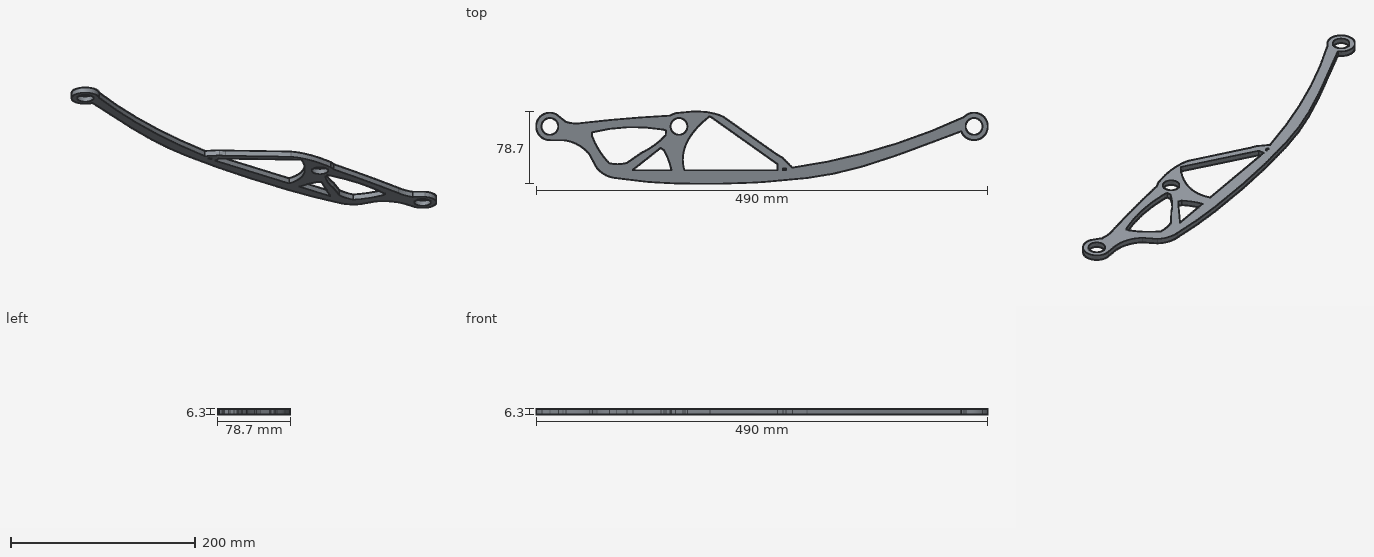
import cadquery as cq
import math

thickness = 6.3
eye_radius = 15.0
hole_diameter = 18.0
eye_spacing = 460.0
pivot_x = 140.0
pocket_floor_y = -47.5

neck_left = (17.3, 5.0)
neck_low = (25.5, 3.4)
neck_right = (36.0, 4.0)
rail_middle = (80.0, 8.4)
rail_end = (130.0, 11.8)
crown_left = (157.0, 16.3)
crown_right = (169.6, 15.7)

strut_top = (188.0, 10.6)
strut_bottom = (246.0, -30.2)
strut_foot = (252.0, -33.6)
arm_upper_start = (262.8, -44.6)
arm_upper_middle = (353.4, -25.4)

arm_lower_end = (445.0, -5.8)
arm_lower_outer = (390.0, -26.4)
arm_lower_inner = (341.7, -42.7)
belly_right_end = (278.7, -56.1)
belly_right = (220.0, -61.1)
belly_low = (165.0, -62.4)
belly_left = (115.0, -60.9)
belly_left_end = (72.0, -56.2)
bend_middle = (58.5, -51.8)
bend_end = (50.6, -44.8)
flank_top = (42.6, -30.0)
throat_middle = (29.0, -19.2)
throat_end = (14.0, -eye_radius)

left_eye_neck_angle = 62
right_eye_upper_angle = 137
right_eye_lower_angle = 202
pivot_rim_angle = 105


def on_eye(center_x, angle):
    """Point on the rim of an eye, at an angle in degrees from +X."""
    turn = math.radians(angle)
    return (center_x + eye_radius * math.cos(turn), eye_radius * math.sin(turn))


def base_plane():
    """Workplane on the lower face of the plate."""
    return cq.Workplane("XY", origin=(0, 0, -thickness / 2))


def make_plate():
    left_eye_bottom_angle = 270
    left_eye_middle_angle = (left_eye_neck_angle + left_eye_bottom_angle) / 2
    outline = (
        base_plane()
        .moveTo(*on_eye(0, left_eye_bottom_angle))
        .threePointArc(on_eye(0, left_eye_middle_angle), on_eye(0, left_eye_neck_angle))
        .lineTo(*neck_left)
        .threePointArc(neck_low, neck_right)
        .threePointArc(rail_middle, rail_end)
        .lineTo(*on_eye(pivot_x, pivot_rim_angle))
        .spline([crown_left, crown_right, strut_top], includeCurrent=True)
        .lineTo(*strut_bottom)
        .lineTo(*strut_foot)
        .lineTo(*arm_upper_start)
        .threePointArc(arm_upper_middle, on_eye(eye_spacing, right_eye_upper_angle))
        .threePointArc(on_eye(eye_spacing, 0), on_eye(eye_spacing, right_eye_lower_angle))
        .lineTo(*arm_lower_end)
        .spline([arm_lower_outer, arm_lower_inner, belly_right_end], includeCurrent=True)
        .spline([belly_right, belly_low, belly_left, belly_left_end], includeCurrent=True)
        .threePointArc(bend_middle, bend_end)
        .lineTo(*flank_top)
        .threePointArc(throat_middle, throat_end)
        .close()
    )
    return outline.extrude(thickness)


def make_rail_pocket():
    """Large pocket below the upper rail, left of the pivot hole."""
    upper_left = (45.8, -6.5)
    upper_middle = (88.0, -0.9)
    upper_right = (123.2, -3.6)
    right_corner_top = (125.9, -4.6)
    right_corner_bottom = (125.4, -9.5)
    web_curve_middle = (113.5, -20.2)
    web_curve_end = (99.6, -28.4)
    bottom_right = (83.4, -39.5)
    bottom_middle = (74.5, -40.8)
    bottom_left = (64.2, -39.8)
    left_middle = (53.5, -26.0)
    left_top = (45.8, -10.5)
    outline = (
        base_plane()
        .moveTo(*upper_left)
        .threePointArc(upper_middle, upper_right)
        .lineTo(*right_corner_top)
        .lineTo(*right_corner_bottom)
        .threePointArc(web_curve_middle, web_curve_end)
        .lineTo(*bottom_right)
        .threePointArc(bottom_middle, bottom_left)
        .threePointArc(left_middle, left_top)
        .close()
    )
    return outline.extrude(thickness)


def make_middle_pocket():
    """Small triangular pocket below and left of the pivot hole."""
    left_tip = (89.6, pocket_floor_y)
    apex_left = (120.0, -23.5)
    apex_right = (123.7, -25.8)
    right_middle = (128.4, -36.0)
    right_bottom = (131.8, pocket_floor_y)
    outline = (
        base_plane()
        .moveTo(*left_tip)
        .lineTo(*apex_left)
        .lineTo(*apex_right)
        .threePointArc(right_middle, right_bottom)
        .close()
    )
    return outline.extrude(thickness)


def make_strut_pocket():
    """Long triangular pocket below the strut, with a curved left side."""
    right_x = 246.8
    left_bottom = (146.0, pocket_floor_y)
    left_curve = [(144.3, -36.0), (146.4, -23.0), (153.6, -9.0)]
    apex_left = (173.2, 10.8)
    apex_right = (175.3, 9.7)
    right_top = (right_x, -41.0)
    outline = (
        base_plane()
        .moveTo(*left_bottom)
        .spline([*left_curve, apex_left], includeCurrent=True)
        .lineTo(*apex_right)
        .lineTo(*right_top)
        .lineTo(right_x, pocket_floor_y)
        .close()
    )
    return outline.extrude(thickness)


def make_foot_slit():
    """Tiny rectangular opening at the foot of the strut, beside the strut pocket."""
    length = 3.4
    width = 1.6
    left_x = 252.6
    center = (left_x + length / 2, pocket_floor_y + width / 2)
    return base_plane().pushPoints([center]).rect(length, width).extrude(thickness)


def make_holes():
    """Equal through holes in the left eye, at the pivot and in the right eye."""
    centers = [(0, 0), (pivot_x, 0), (eye_spacing, 0)]
    return base_plane().pushPoints(centers).circle(hole_diameter / 2).extrude(thickness)


result = make_plate()
for make_cutter in (make_rail_pocket, make_middle_pocket, make_strut_pocket, make_foot_slit, make_holes):
    result = result.cut(make_cutter())